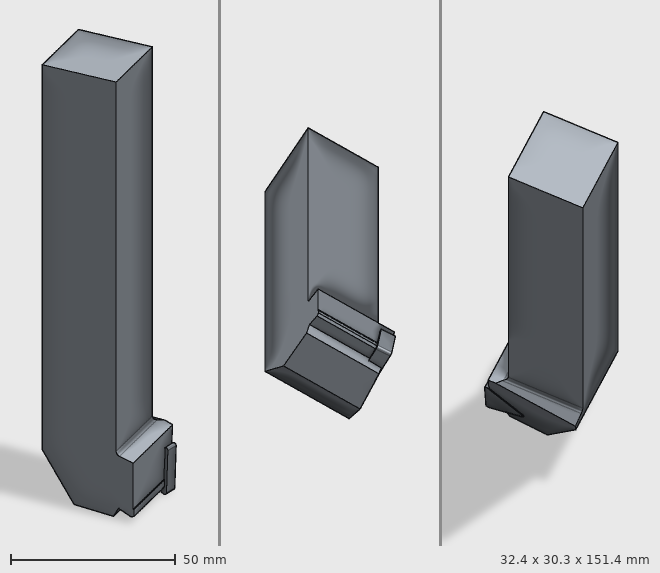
import cadquery as cq
import math

shank_side = 25.0
top_z = 151.4
shoulder_angle = math.radians(15)
shoulder_fillet = 1.5

head_width = 30.7
head_depth = 30.3
shoulder_low_z = 21.2
flank_top_z = 18.5
heel_x = 10.7
heel_z = 2.1
toe_x = 24.0
toe_z = 1.2
notch_x = 25.7
notch_z = 4.4
seat_x = 30.1
seat_z = 2.4
lip_width = 31.0
lip_low_z = 2.9
lip_top_z = 5.3

face_slope = 0.1
face_normal = (face_slope, 1, -face_slope)
face_x_dir = (1, -face_slope, 0)

insert_side = 16.5
insert_thickness = 4.8
nose_radius = 0.8
insert_proud = 0.3
edge_lean = math.radians(1.5)
tip_x = 32.4
nose_shortening = nose_radius * (math.sqrt(3) - 1)
tip_z = -nose_shortening


def face_y(x, z):
    """Y of the tilted face at a given X and Z."""
    return head_depth - face_slope * x - face_slope * (shoulder_low_z - z)


def face_workplane(x, z):
    """Workplane on the tilted face, with local +y pointing toward -Z."""
    origin = (x, face_y(x, z), z)
    return cq.Workplane(cq.Plane(origin=origin, xDir=face_x_dir, normal=face_normal))


def shoulder_top_z(overhang):
    """Height at which a shoulder of this overhang meets the shank."""
    return shoulder_low_z + overhang * math.tan(shoulder_angle)


def make_front_profile():
    """Holder outline in XZ, extruded through the head depth."""
    shoulder_z = shoulder_top_z(head_width - shank_side)
    outline = [
        (0, top_z),
        (shank_side, top_z),
        (shank_side, shoulder_z),
        (head_width, shoulder_low_z),
        (head_width, lip_top_z),
        (lip_width, lip_top_z),
        (lip_width, lip_low_z),
        (seat_x, seat_z),
        (notch_x, notch_z),
        (toe_x, toe_z),
        (heel_x, heel_z),
        (0, flank_top_z),
    ]
    body = cq.Workplane("XZ").polyline(outline).close().extrude(-head_depth)
    corner = cq.NearestToPointSelector((shank_side, head_depth / 2, shoulder_z))
    return body.edges(corner).fillet(shoulder_fillet)


def make_side_profile():
    """Holder outline in YZ, extruded through the head width."""
    shoulder_z = shoulder_top_z(head_depth - shank_side)
    outline = [
        (0, 0),
        (0, top_z),
        (shank_side, top_z),
        (shank_side, shoulder_z),
        (head_depth, shoulder_low_z),
        (head_depth, 0),
    ]
    body = cq.Workplane("YZ").polyline(outline).close().extrude(lip_width)
    corner = cq.NearestToPointSelector((lip_width / 2, shank_side, shoulder_z))
    return body.edges(corner).fillet(shoulder_fillet)


def make_insert():
    """Triangular plate with rounded noses, its cutting edge leaning slightly toward the shank."""
    upper_direction = edge_lean
    rear_direction = edge_lean + math.radians(60)
    outline = [(0, 0)]
    for direction in (upper_direction, rear_direction):
        outline.append((-insert_side * math.sin(direction), -insert_side * math.cos(direction)))
    top = face_workplane(tip_x, tip_z).workplane(offset=insert_proud)
    plate = top.polyline(outline).close().extrude(-insert_thickness)
    plate = plate.edges(cq.selectors.ParallelDirSelector(cq.Vector(*face_normal))).fillet(nose_radius)
    return plate.translate((0, 0, -plate.val().BoundingBox().zmin))


def make_holder(insert):
    """Shank and head, with the tilted face and the insert pocket cut away."""
    body = make_front_profile().intersect(make_side_profile())
    cutter_size = 4 * head_depth
    cutter = face_workplane(0, shoulder_low_z).rect(cutter_size, cutter_size).extrude(head_depth)
    return body.cut(cutter).cut(insert)


insert = make_insert()
holder = make_holder(insert)

result = cq.Compound.makeCompound([holder.val(), insert.val()])